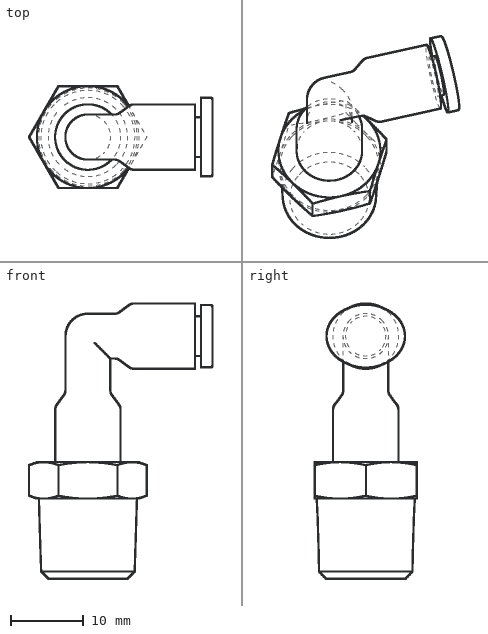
import cadquery as cq
import math

hex_across_flats = 14.0
hex_bottom_z = 11.0
hex_height = 5.0
hex_top_z = hex_bottom_z + hex_height
hex_chamfer_drop = 0.4
hex_across_corners = hex_across_flats / math.cos(math.pi / 6)

thread_top_radius = 6.75
thread_taper = 1 / 16
thread_end_chamfer = 1.0
thread_end_radius = thread_top_radius - (hex_bottom_z - thread_end_chamfer) * thread_taper / 2

pipe_radius = 3.1
sleeve_radius = 4.5
elbow_center_z = 33.3
horizontal_shoulder_start = 4.05
vertical_shoulder_start = 7.8
shoulder_length = 1.9
shoulder_blend_radius = 1.0
socket_end = 14.7

button_start = 15.5
button_end = 17.1
button_neck_radius = 2.75
button_half_width = 5.4
button_half_height = 4.3
button_edge_fillet = 0.25


def make_thread():
    """Cone narrowing downward, with a 45 degree lead-in at the bottom."""
    profile = [
        (0, 0),
        (thread_end_radius - thread_end_chamfer, 0),
        (thread_end_radius, thread_end_chamfer),
        (thread_top_radius, hex_bottom_z),
        (0, hex_bottom_z),
    ]
    return cq.Workplane("XZ").polyline(profile).close().revolve(360, (0, 0), (0, 1))


def make_hexagon():
    """Hexagon with corners on the X axis and conical chamfers on both faces."""
    prism = (
        cq.Workplane("XY")
        .workplane(offset=hex_bottom_z)
        .polygon(6, hex_across_corners)
        .extrude(hex_height)
    )
    face_radius = hex_across_flats / 2
    corner_radius = hex_across_corners / 2
    envelope_profile = [
        (0, hex_bottom_z),
        (face_radius, hex_bottom_z),
        (corner_radius, hex_bottom_z + hex_chamfer_drop),
        (corner_radius, hex_top_z - hex_chamfer_drop),
        (face_radius, hex_top_z),
        (0, hex_top_z),
    ]
    envelope = cq.Workplane("XZ").polyline(envelope_profile).close().revolve(360, (0, 0), (0, 1))
    return prism.intersect(envelope)


def make_arm(length, shoulder_start):
    """Arm along +X from the origin: pipe, blended conical shoulder, sleeve."""
    shoulder_end = shoulder_start + shoulder_length
    slope = math.atan2(sleeve_radius - pipe_radius, shoulder_length)
    tangent = shoulder_blend_radius * math.tan(slope / 2)
    along = tangent * math.cos(slope)
    across = tangent * math.sin(slope)
    profile = (
        cq.Workplane("XZ")
        .lineTo(0, pipe_radius)
        .lineTo(shoulder_start - tangent, pipe_radius)
        .tangentArcPoint((shoulder_start + along, pipe_radius + across), relative=False)
        .lineTo(shoulder_end - along, sleeve_radius - across)
        .tangentArcPoint((shoulder_end + tangent, sleeve_radius), relative=False)
        .lineTo(length, sleeve_radius)
        .lineTo(length, 0)
        .close()
    )
    return profile.revolve(360, (0, 0), (1, 0))


def make_elbow():
    """Horizontal and vertical arms meeting at a ball of the pipe radius."""
    elbow = cq.Workplane("XY").sphere(pipe_radius)
    elbow = elbow.union(make_arm(socket_end, horizontal_shoulder_start))
    vertical_arm = make_arm(elbow_center_z - hex_top_z, vertical_shoulder_start)
    vertical_arm = vertical_arm.rotate((0, 0, 0), (0, 1, 0), 90)
    return elbow.union(vertical_arm).translate((0, 0, elbow_center_z))


def make_release_button():
    """Oval button on a round neck, its outer edge rounded."""
    neck = (
        cq.Workplane("YZ", origin=(socket_end, 0, elbow_center_z))
        .circle(button_neck_radius)
        .extrude(button_start - socket_end)
    )
    button = (
        cq.Workplane("YZ", origin=(button_start, 0, elbow_center_z))
        .ellipse(button_half_width, button_half_height)
        .extrude(button_end - button_start)
        .faces(">X")
        .edges()
        .fillet(button_edge_fillet)
    )
    return neck.union(button)


result = make_thread().union(make_hexagon()).union(make_elbow()).union(make_release_button())